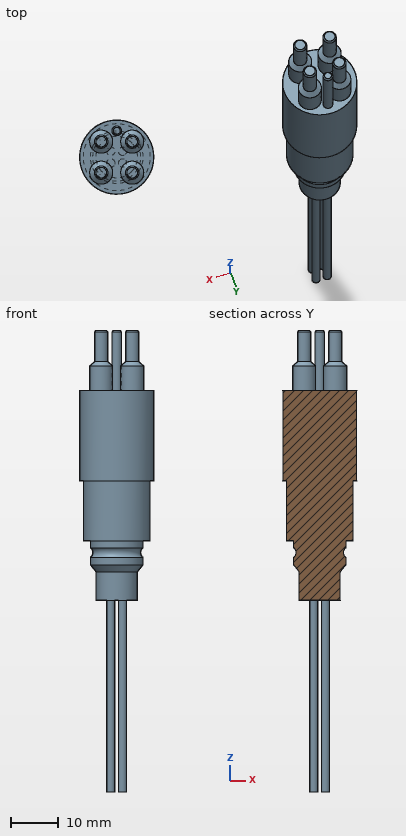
import cadquery as cq

total_height = 96.5
pin_shoulder_top = 89.9
pin_shoulder_bottom = 89.1
body_top = 84.0
body_step = 65.0
body_bottom = 52.5
groove_top = 51.05
groove_bottom = 49.0
collar_bottom = 47.5
neck_top = 46.0
neck_bottom = 40.0

contact_count = 4
first_contact_angle = 45

body_diameter = 15.5
lower_body_diameter = 14.0
collar_diameter = 11.0
neck_diameter = 8.7
groove_depth = 0.5

tip_chamfer_width = 0.3
tip_chamfer_height = 0.4

pin_circle_diameter = 9.2
pin_diameter = 2.8
pin_base_diameter = 4.8

locator_diameter = 2.0
locator_offset = 5.5

wire_circle_diameter = 3.5
wire_diameter = 1.7


def make_body():
    """Revolve the stepped body, with an arc groove around the collar."""
    body_radius = body_diameter / 2
    lower_body_radius = lower_body_diameter / 2
    collar_radius = collar_diameter / 2
    neck_radius = neck_diameter / 2
    groove_middle = (groove_top + groove_bottom) / 2
    return (
        cq.Workplane("XZ")
        .moveTo(0, body_top)
        .lineTo(body_radius, body_top)
        .lineTo(body_radius, body_step)
        .lineTo(lower_body_radius, body_step)
        .lineTo(lower_body_radius, body_bottom)
        .lineTo(collar_radius, body_bottom)
        .lineTo(collar_radius, groove_top)
        .threePointArc((collar_radius - groove_depth, groove_middle), (collar_radius, groove_bottom))
        .lineTo(collar_radius, collar_bottom)
        .lineTo(neck_radius, neck_top)
        .lineTo(neck_radius, neck_bottom)
        .lineTo(0, neck_bottom)
        .close()
        .revolve(360, (0, 0, 0), (0, 1, 0))
    )


def make_contact_pin():
    """Revolve one contact pin: a wide base, a conical shoulder and a slim chamfered tip."""
    pin_radius = pin_diameter / 2
    base_radius = pin_base_diameter / 2
    return (
        cq.Workplane("XZ")
        .moveTo(0, body_top)
        .lineTo(base_radius, body_top)
        .lineTo(base_radius, pin_shoulder_bottom)
        .lineTo(pin_radius, pin_shoulder_top)
        .lineTo(pin_radius, total_height - tip_chamfer_height)
        .lineTo(pin_radius - tip_chamfer_width, total_height)
        .lineTo(0, total_height)
        .close()
        .revolve(360, (0, 0, 0), (0, 1, 0))
    )


def make_contact_pins():
    """Place one contact pin at each position on the pin circle."""
    contact_pin = make_contact_pin().val()
    return (
        cq.Workplane("XY")
        .polarArray(pin_circle_diameter / 2, first_contact_angle, 360, contact_count, rotate=False)
        .eachpoint(lambda position: contact_pin.located(position))
    )


def make_locator():
    """Revolve the slim locating pin with a chamfered tip and set it beside the contacts."""
    locator_radius = locator_diameter / 2
    return (
        cq.Workplane("XZ")
        .moveTo(0, body_top)
        .lineTo(locator_radius, body_top)
        .lineTo(locator_radius, total_height - tip_chamfer_height)
        .lineTo(locator_radius - tip_chamfer_width, total_height)
        .lineTo(0, total_height)
        .close()
        .revolve(360, (0, 0, 0), (0, 1, 0))
        .translate((0, locator_offset, 0))
    )


def make_wires():
    """Make the four straight wires hanging from the neck."""
    return (
        cq.Workplane("XY")
        .polarArray(wire_circle_diameter / 2, first_contact_angle, 360, contact_count, rotate=False)
        .circle(wire_diameter / 2)
        .extrude(neck_bottom)
    )


result = make_body().union(make_contact_pins()).union(make_locator()).union(make_wires())